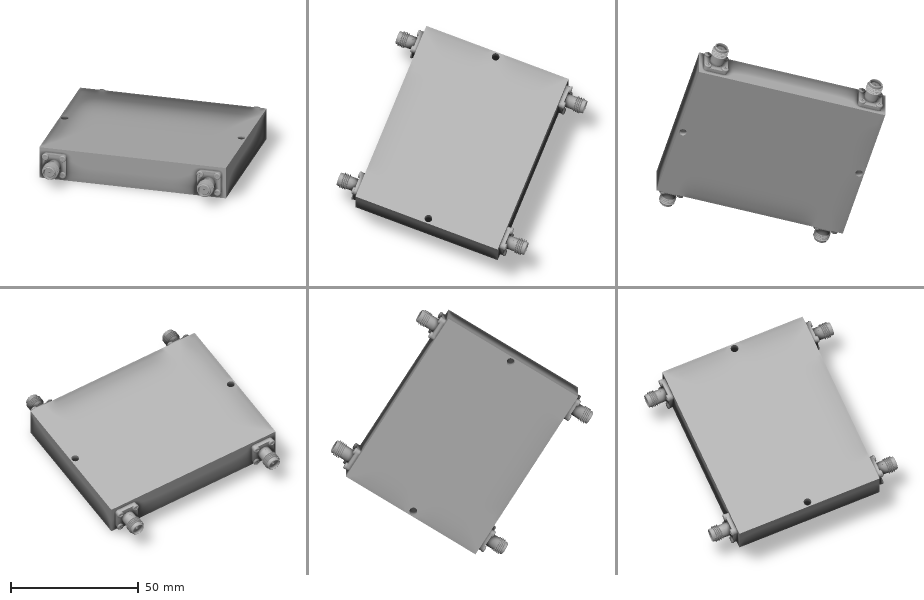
import cadquery as cq

HOUSING_LENGTH = 76.0
HOUSING_WIDTH = 60.0
HOUSING_HEIGHT = 13.0
MOUNT_HOLE_DIAMETER = 3.0
MOUNT_HOLE_EDGE_OFFSET = 2.0

OVERALL_WIDTH = 79.05
CONNECTOR_LENGTH = (OVERALL_WIDTH - HOUSING_WIDTH) / 2
CONNECTOR_SPACING = 63.0

FLANGE_SIZE = 9.5
FLANGE_THICKNESS = 1.65
FLANGE_CORNER_RADIUS = 1.3

SCREW_SPACING = 7.05
SCREW_HEAD_DIAMETER = 2.75
SCREW_HEAD_HEIGHT = 0.8
SCREW_HEAD_FILLET = 0.4
RECESS_LENGTH = 1.6
RECESS_WIDTH = 0.4
RECESS_DEPTH = 0.4

BARREL_DIAMETER = 5.3
BARREL_TIP_CHAMFER = 0.2
SOCKET_DIAMETER = 4.6
SOCKET_DEPTH = 2.6
INSULATOR_DIAMETER = 3.8
INSULATOR_HEIGHT = 1.5
CONTACT_DIAMETER = 1.2
CONTACT_HEIGHT = 1.7
CONTACT_BORE_DIAMETER = 0.8
CONTACT_BORE_DEPTH = 2.5
DIMPLE_DIAMETER = 1.25
DIMPLE_DEPTH = 0.15
DIMPLE_HEIGHT = 3.55

THREAD_DIAMETER = 6.35
THREAD_PITCH = 25.4 / 36
THREAD_START = 5.45
THREAD_END = 8.35
THREAD_ROOT_WIDTH = 0.6
THREAD_CREST_WIDTH = 0.1
THREAD_EMBED = 0.15


def make_housing():
    """Plain block, centred on the origin, with a through mounting hole near each end."""
    hole_spacing = HOUSING_LENGTH - 2 * MOUNT_HOLE_EDGE_OFFSET
    return (
        cq.Workplane("XY")
        .box(HOUSING_LENGTH, HOUSING_WIDTH, HOUSING_HEIGHT)
        .faces(">Z")
        .workplane()
        .rarray(hole_spacing, 1, 2, 1)
        .hole(MOUNT_HOLE_DIAMETER)
    )


def make_flange():
    """Square flange with rounded corners, standing on the XY plane."""
    return (
        cq.Workplane("XY")
        .rect(FLANGE_SIZE, FLANGE_SIZE)
        .extrude(FLANGE_THICKNESS)
        .edges("|Z")
        .fillet(FLANGE_CORNER_RADIUS)
    )


def make_screw_head():
    """Pan head with a cross recess, seated on the XY plane."""
    head = (
        cq.Workplane("XY")
        .circle(SCREW_HEAD_DIAMETER / 2)
        .extrude(SCREW_HEAD_HEIGHT)
        .faces(">Z")
        .edges()
        .fillet(SCREW_HEAD_FILLET)
    )
    recess_floor = cq.Workplane("XY").workplane(offset=SCREW_HEAD_HEIGHT - RECESS_DEPTH)
    for length_x, length_y in ((RECESS_LENGTH, RECESS_WIDTH), (RECESS_WIDTH, RECESS_LENGTH)):
        head = head.cut(recess_floor.rect(length_x, length_y).extrude(RECESS_DEPTH))
    return head


def make_thread():
    """Right-handed helical ridge whose root is sunk slightly into the barrel."""
    root_radius = BARREL_DIAMETER / 2 - THREAD_EMBED
    crest_radius = THREAD_DIAMETER / 2
    half_root = THREAD_ROOT_WIDTH / 2
    half_crest = THREAD_CREST_WIDTH / 2
    helix = cq.Wire.makeHelix(THREAD_PITCH, THREAD_END - THREAD_START, root_radius)
    ridge = (
        cq.Workplane("XZ")
        .polyline(
            [
                (root_radius, -half_root),
                (crest_radius, -half_crest),
                (crest_radius, half_crest),
                (root_radius, half_root),
            ]
        )
        .close()
        .sweep(cq.Workplane(obj=helix), isFrenet=True)
    )
    return ridge.translate((0, 0, THREAD_START))


def make_barrel():
    """Threaded tube along +Z with a socket, an insulator, a centre contact and a side dimple."""
    barrel = (
        cq.Workplane("XY")
        .circle(BARREL_DIAMETER / 2)
        .extrude(CONNECTOR_LENGTH)
        .faces(">Z")
        .edges()
        .chamfer(BARREL_TIP_CHAMFER)
        .union(make_thread())
    )

    socket_floor = CONNECTOR_LENGTH - SOCKET_DEPTH
    socket = (
        cq.Workplane("XY")
        .workplane(offset=socket_floor)
        .circle(SOCKET_DIAMETER / 2)
        .extrude(SOCKET_DEPTH)
    )
    insulator = (
        cq.Workplane("XY")
        .workplane(offset=socket_floor)
        .circle(INSULATOR_DIAMETER / 2)
        .extrude(INSULATOR_HEIGHT)
    )
    contact = (
        cq.Workplane("XY")
        .workplane(offset=socket_floor)
        .circle(CONTACT_DIAMETER / 2)
        .extrude(CONTACT_HEIGHT)
    )
    contact_bore = (
        cq.Workplane("XY")
        .workplane(offset=socket_floor + CONTACT_HEIGHT - CONTACT_BORE_DEPTH)
        .circle(CONTACT_BORE_DIAMETER / 2)
        .extrude(CONTACT_BORE_DEPTH)
    )
    dimple = (
        cq.Workplane("XZ", origin=(0, BARREL_DIAMETER / 2, DIMPLE_HEIGHT))
        .circle(DIMPLE_DIAMETER / 2)
        .extrude(DIMPLE_DEPTH)
    )
    return barrel.cut(socket).union(insulator).union(contact).cut(contact_bore).cut(dimple)


def make_connector():
    """Coaxial connector along +Z, with its dimple facing +Y."""
    connector = make_flange().union(make_barrel())
    head = make_screw_head().translate((0, 0, FLANGE_THICKNESS))
    for side_x in (-1, 1):
        for side_y in (-1, 1):
            place = (side_x * SCREW_SPACING / 2, side_y * SCREW_SPACING / 2, 0)
            connector = connector.union(head.translate(place))
    return connector


def add_connectors(housing):
    """Two connectors on each long side, all with their dimples facing up."""
    front_connector = (
        make_connector()
        .rotate((0, 0, 0), (1, 0, 0), 90)
        .translate((0, -HOUSING_WIDTH / 2, 0))
    )
    for turn in (0, 180):
        connector = front_connector.rotate((0, 0, 0), (0, 0, 1), turn)
        for side in (-1, 1):
            housing = housing.union(connector.translate((side * CONNECTOR_SPACING / 2, 0, 0)))
    return housing


result = add_connectors(make_housing())